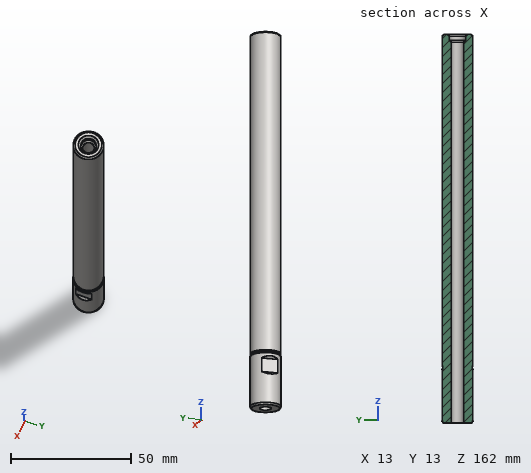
import cadquery as cq

length = 162.0
outer_diameter = 13.0
upper_diameter = 12.8
outer_radius = outer_diameter / 2
top_chamfer_height = 0.6
top_chamfer_width = 0.8
bottom_chamfer_height = 0.8
bottom_chamfer_width = 0.5

through_diameter = 4.9
counterbore_diameter = 6.5
mouth_diameter = 8.5
shoulder_depth = 2.6

groove_diameter = 12.3
groove_bottom = 22.4
groove_width = 1.3

across_flats = 10.9
flat_bottom = 14.3
flat_length = 5.8


def make_body():
    """Revolve the outer outline, including the end chamfers and the groove."""
    groove_radius = groove_diameter / 2
    groove_top = groove_bottom + groove_width
    upper_radius = upper_diameter / 2
    groove_depth = outer_radius - groove_radius
    profile = (
        cq.Workplane("XZ")
        .lineTo(outer_radius - bottom_chamfer_width, 0)
        .lineTo(outer_radius, bottom_chamfer_height)
        .lineTo(outer_radius, groove_bottom)
        .lineTo(groove_radius, groove_bottom + groove_depth)
        .lineTo(groove_radius, groove_top - groove_depth)
        .lineTo(upper_radius, groove_top)
        .lineTo(upper_radius, length - top_chamfer_height)
        .lineTo(upper_radius - top_chamfer_width, length)
        .lineTo(0, length)
        .close()
    )
    return profile.revolve(360, (0, 0), (0, 1))


def make_bore():
    """Revolve the space inside the tube, widening in steps toward the top."""
    through_radius = through_diameter / 2
    counterbore_radius = counterbore_diameter / 2
    mouth_radius = mouth_diameter / 2
    shoulder_top = length - shoulder_depth
    shoulder_bottom = shoulder_top - (counterbore_radius - through_radius)
    mouth_bottom = length - (mouth_radius - counterbore_radius)
    outline = [
        (0, 0),
        (through_radius, 0),
        (through_radius, shoulder_bottom),
        (counterbore_radius, shoulder_top),
        (counterbore_radius, mouth_bottom),
        (mouth_radius, length),
        (0, length),
    ]
    return cq.Workplane("XZ").polyline(outline).close().revolve(360, (0, 0), (0, 1))


def make_flat_cutter(side):
    """Cutter for one flat; side is -1 for the -X flat and +1 for the +X flat."""
    flat_x = across_flats / 2
    run_out = outer_radius - flat_x
    flat_top = flat_bottom + flat_length
    outline = [
        (side * flat_x, flat_bottom),
        (side * flat_x, flat_top),
        (side * outer_radius, flat_top + run_out),
        (side * outer_radius, flat_bottom - run_out),
    ]
    return cq.Workplane("XZ").polyline(outline).close().extrude(outer_radius, both=True)


result = make_body().cut(make_bore())
for side in (-1, 1):
    result = result.cut(make_flat_cutter(side))